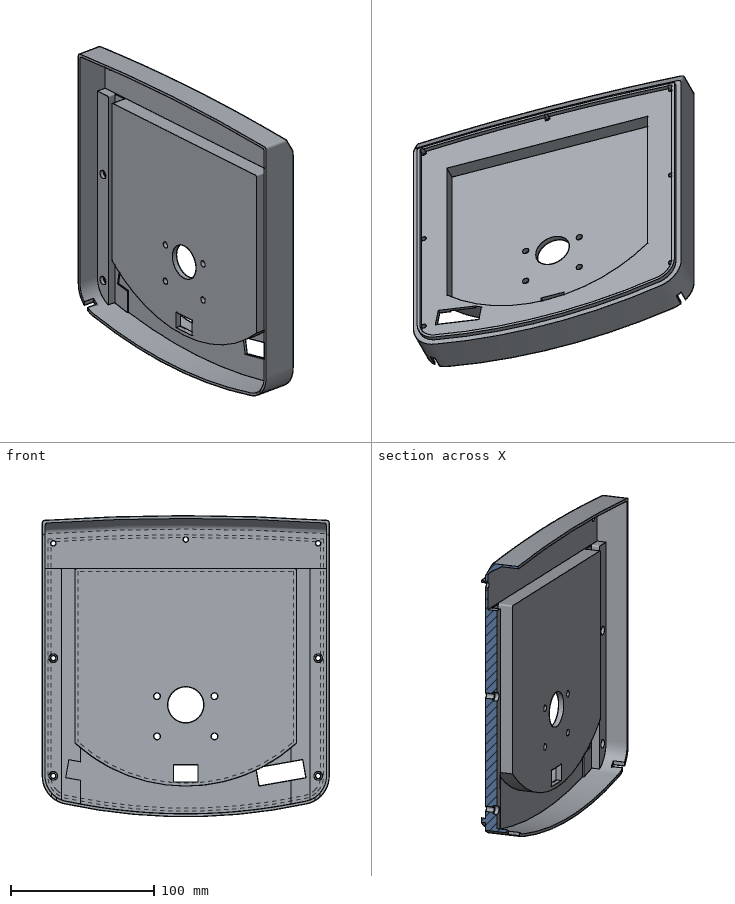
import cadquery as cq
import math


WIDTH = 200.0
HEIGHT = 209.78
TOP_RADIUS = 1500.0
BOTTOM_RADIUS = 400.0
TOP_CORNER_RADIUS = 2.0
BOTTOM_CORNER_RADIUS = 20.0
TOP_CENTRE_Z = HEIGHT - TOP_RADIUS

BACK_Y = 25.0
WALL = 2.0
FLOOR_Y = BACK_Y - WALL
GUTTER_Y = 22.0
RAIL_Y = 16.0
PLATE_Y = 11.0

SLOPE_HEIGHT = 9.4
SLOPE_DEPTH = 5.5
SLOPE_EDGE_RADIUS = 3.0
UPPER_EDGES_Z = HEIGHT - 2 * SLOPE_HEIGHT

TOP_WALL_BEND_Y = 12.5
TOP_WALL_DROP = 5.7
TOP_WALL_FLOOR_RADIUS = 4.0

LIP_INSET = 4.0
LIP_HEIGHT = 3.0
LIP_WIDTH = 2.0
LIP_TOP_DROP = 13.3

RAISED_TOP_Z = 173.0
PLATE_HALF_WIDTH = 77.0
PLATE_SIDE_END_Z = 51.3
PLATE_BOTTOM_Z = 21.4
PLATE_THICKNESS = 4.0
PLATE_BACK_Y = PLATE_Y + PLATE_THICKNESS
PLATE_WALL = 2.0
RAIL_INNER_X = 86.5
GUTTER_INNER_X = 73.2
RAISED_CORNER_RADIUS = 1.2

SCREW_X = 92.25
SCREW_DIAMETER = 3.5
COUNTERBORE_DIAMETER = 6.0
COUNTERBORE_DEPTH = 3.0
RAIL_SCREW_Z = (28.5, 110.5)
TOP_SCREW_Z = 190.5
TOP_MIDDLE_SCREW_Z = 193.1

SHAFT_DIAMETER = 25.0
SHAFT_Z = 78.0
MOUNT_DIAMETER = 4.5
MOUNT_X = 20.0
MOUNT_Z = (56.0, 84.0)
WINDOW_WIDTH = 17.0
WINDOW_HEIGHT = 11.8
WINDOW_Z = 30.2

TILTED_LENGTH = 33.0
TILTED_HEIGHT = 12.7
TILTED_X = 66.25
TILTED_Z = 30.65
TILT_ANGLE = 10.0

SLOT_X = 91.8
SLOT_WIDTH = 3.5
SLOT_DEPTH = 8.5
SLOT_TOP_Z = 28.0


def extrude(sketch_on_front, start_y, end_y):
    """Extrude a sketch given in X and Z from start_y back to end_y."""
    return sketch_on_front.extrude(-(end_y - start_y)).translate((0, start_y, 0))


def front():
    """A workplane with X to the right and Z up."""
    return cq.Workplane("XZ")


def block(min_x, max_x, min_y, max_y, min_z, max_z):
    """A box given by its limits."""
    size = (max_x - min_x, max_y - min_y, max_z - min_z)
    return cq.Workplane("XY").box(*size, centered=False).translate((min_x, min_y, min_z))


def cylinder(x, z, diameter, start_y, end_y):
    """A round bar running along Y."""
    return extrude(front().center(x, z).circle(diameter / 2), start_y, end_y)


def tray_prism(inset, start_y, end_y, top_drop):
    """A prism of the tray outline moved inward by inset, with its top arc lowered by top_drop."""
    half_width = WIDTH / 2 - inset
    top_radius = TOP_RADIUS - top_drop
    bottom_radius = BOTTOM_RADIUS - inset
    corner_radius = BOTTOM_CORNER_RADIUS - inset
    side_top_z = TOP_CENTRE_Z + math.sqrt(top_radius**2 - half_width**2)

    corner_x = half_width - corner_radius
    corner_drop = math.sqrt((bottom_radius - corner_radius) ** 2 - corner_x**2)
    corner_z = BOTTOM_RADIUS - corner_drop
    touch_angle = math.atan2(corner_x, corner_drop)
    touch_x = bottom_radius * math.sin(touch_angle)
    touch_z = BOTTOM_RADIUS - bottom_radius * math.cos(touch_angle)
    middle_angle = (touch_angle + math.pi / 2) / 2
    middle_x = corner_x + corner_radius * math.sin(middle_angle)
    middle_z = corner_z - corner_radius * math.cos(middle_angle)

    outline = (
        front()
        .moveTo(-half_width, side_top_z)
        .threePointArc((0, HEIGHT - top_drop), (half_width, side_top_z))
        .lineTo(half_width, corner_z)
        .threePointArc((middle_x, middle_z), (touch_x, touch_z))
        .threePointArc((0, inset), (-touch_x, touch_z))
        .threePointArc((-middle_x, middle_z), (-half_width, corner_z))
        .close()
    )
    return extrude(outline, start_y, end_y)


def arched_limit(*side_points):
    """A ring about the centre of the top arc, its section given as points (y, drop below the top)."""
    section = cq.Workplane("YZ").moveTo(0, 0)
    for y, drop in side_points:
        section = section.lineTo(y, HEIGHT - drop)
    last_y = side_points[-1][0]
    return section.lineTo(last_y, 0).close().revolve(360, (0, TOP_CENTRE_Z), (1, TOP_CENTRE_Z))


def upper_edges(min_y, max_y):
    """Selects the edges near the top that have their middle between two depths."""
    margin = 0.5
    lower = (-WIDTH, min_y - margin, UPPER_EDGES_Z)
    upper = (WIDTH, max_y + margin, HEIGHT)
    return cq.selectors.BoxSelector(lower, upper)


def outer_body():
    """The solid tray body without its cavity, with the sloping face at the top."""
    bend_y = BACK_Y - SLOPE_DEPTH
    limit = arched_limit((0, 0), (bend_y, 0), (BACK_Y, SLOPE_HEIGHT))
    body = tray_prism(0, 0, BACK_Y, 0).intersect(limit)
    body = body.edges(upper_edges(bend_y, bend_y)).fillet(SLOPE_EDGE_RADIUS)
    return body.edges(upper_edges(1, BACK_Y - 1)).edges("<X or >X").fillet(TOP_CORNER_RADIUS)


def cavity():
    """The space inside the tray, with a top wall that thickens, then rounds into the floor."""
    limit = arched_limit((0, WALL), (TOP_WALL_BEND_Y, WALL), (FLOOR_Y, WALL + TOP_WALL_DROP))
    prism = tray_prism(WALL, 0, FLOOR_Y, WALL)
    space = prism.intersect(limit)
    space = space.edges(upper_edges(FLOOR_Y, FLOOR_Y)).fillet(TOP_WALL_FLOOR_RADIUS)
    rounded_prism = prism.edges(upper_edges(1, FLOOR_Y - 1)).fillet(TOP_CORNER_RADIUS)
    return space.intersect(rounded_prism)


def back_lip():
    """The raised rim standing off the back."""
    lip_end_y = BACK_Y + LIP_HEIGHT
    outside = tray_prism(LIP_INSET, BACK_Y, lip_end_y, LIP_TOP_DROP)
    inside = tray_prism(LIP_INSET + LIP_WIDTH, BACK_Y, lip_end_y, LIP_TOP_DROP + LIP_WIDTH)
    return outside.cut(inside)


def plate_prism(inset, start_y, end_y):
    """A prism of the raised plate outline moved inward by inset: straight top and sides, round bottom."""
    sag = PLATE_SIDE_END_Z - PLATE_BOTTOM_Z
    arc_radius = (PLATE_HALF_WIDTH**2 + sag**2) / (2 * sag)
    half_width = PLATE_HALF_WIDTH - inset
    arc_centre_z = PLATE_BOTTOM_Z + arc_radius
    side_end_z = arc_centre_z - math.sqrt((arc_radius - inset) ** 2 - half_width**2)
    top_z = RAISED_TOP_Z - inset
    outline = (
        front()
        .moveTo(-half_width, top_z)
        .lineTo(half_width, top_z)
        .lineTo(half_width, side_end_z)
        .threePointArc((0, PLATE_BOTTOM_Z + inset), (-half_width, side_end_z))
        .close()
    )
    return extrude(outline, start_y, end_y)


def raised_plate():
    """The raised plate with its two upper corners rounded."""
    return plate_prism(0, PLATE_Y, FLOOR_Y).edges("|Y and >Z").fillet(RAISED_CORNER_RADIUS)


def side_steps():
    """The rail along each side wall and the lower gutter between rail and plate."""
    rail = block(RAIL_INNER_X, WIDTH / 2, RAIL_Y, FLOOR_Y, 0, RAISED_TOP_Z)
    rail = rail.edges("|Y and >Z and <X").fillet(RAISED_CORNER_RADIUS)
    gutter = block(GUTTER_INNER_X, RAIL_INNER_X, GUTTER_Y, FLOOR_Y, 0, RAISED_TOP_Z)
    right_side = rail.union(gutter)
    return right_side.union(right_side.mirror("YZ"))


def plate_recess():
    """The hollow behind the raised plate, open at the back."""
    return plate_prism(PLATE_WALL, PLATE_BACK_Y, BACK_Y + LIP_HEIGHT)


def tilted_box(start_y, end_y):
    """A box for the tilted opening on the right-hand side, kept clear of the raised plate."""
    box = extrude(front().rect(TILTED_LENGTH, TILTED_HEIGHT), start_y, end_y)
    box = box.rotate((0, 0, 0), (0, 1, 0), -TILT_ANGLE).translate((TILTED_X, 0, TILTED_Z))
    return box.cut(plate_prism(0, 0, BACK_Y))


def tilted_openings():
    """A through opening on the right and a pocket down to the floor on the left."""
    through = tilted_box(GUTTER_Y, BACK_Y)
    pocket = tilted_box(GUTTER_Y, FLOOR_Y).mirror("YZ")
    return through.union(pocket)


def plate_openings():
    """The shaft hole, its four mounting holes and the window."""
    openings = cylinder(0, SHAFT_Z, SHAFT_DIAMETER, PLATE_Y, PLATE_BACK_Y)
    for x in (-MOUNT_X, MOUNT_X):
        for z in MOUNT_Z:
            openings = openings.union(cylinder(x, z, MOUNT_DIAMETER, PLATE_Y, PLATE_BACK_Y))
    window_sketch = front().center(0, WINDOW_Z).rect(WINDOW_WIDTH, WINDOW_HEIGHT)
    return openings.union(extrude(window_sketch, PLATE_Y, PLATE_BACK_Y))


def screw_holes():
    """Counterbored holes through the rails and plain holes along the top of the floor."""
    end_y = BACK_Y + LIP_HEIGHT
    counterbore_end_y = RAIL_Y + COUNTERBORE_DEPTH
    holes = cylinder(0, TOP_MIDDLE_SCREW_Z, SCREW_DIAMETER, FLOOR_Y, end_y)
    for x in (-SCREW_X, SCREW_X):
        holes = holes.union(cylinder(x, TOP_SCREW_Z, SCREW_DIAMETER, FLOOR_Y, end_y))
        for z in RAIL_SCREW_Z:
            holes = holes.union(cylinder(x, z, SCREW_DIAMETER, RAIL_Y, end_y))
            holes = holes.union(cylinder(x, z, COUNTERBORE_DIAMETER, RAIL_Y, counterbore_end_y))
    return holes


def rim_slots():
    """The slots cut into the rim at the two bottom corners."""
    min_x = SLOT_X - SLOT_WIDTH / 2
    slot = block(min_x, min_x + SLOT_WIDTH, 0, SLOT_DEPTH, 0, SLOT_TOP_Z)
    return slot.union(slot.mirror("YZ"))


body = outer_body()
steps = raised_plate().union(side_steps()).intersect(body)
tray = body.cut(cavity()).union(steps).union(back_lip())
result = (
    tray.cut(plate_recess())
    .cut(plate_openings())
    .cut(tilted_openings())
    .cut(screw_holes())
    .cut(rim_slots())
)